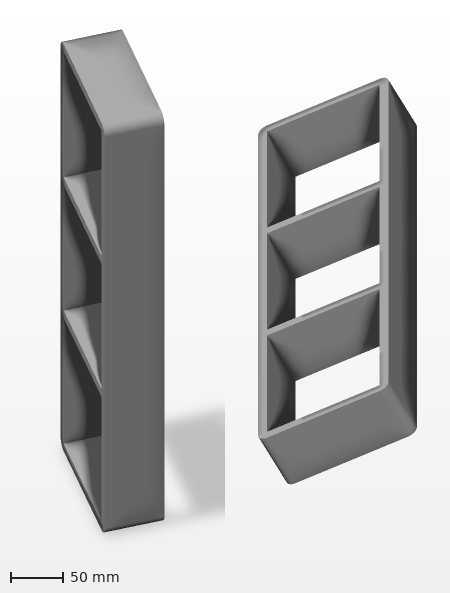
import cadquery as cq

width = 140.5
depth = 60.0
height = 518.5

wall = 10.0
corner_radius = 10.0
bay_count = 3

bay_width = width - 2 * wall
bay_height = (height - (bay_count + 1) * wall) / bay_count
bay_pitch = bay_height + wall

frame = cq.Workplane("XY").box(width, depth, height).edges("|Y").fillet(corner_radius)

bay_centers = [(0, (i - (bay_count - 1) / 2) * bay_pitch) for i in range(bay_count)]
bays = (
    cq.Workplane("XZ")
    .pushPoints(bay_centers)
    .rect(bay_width, bay_height)
    .extrude(depth / 2, both=True)
)

result = frame.cut(bays)